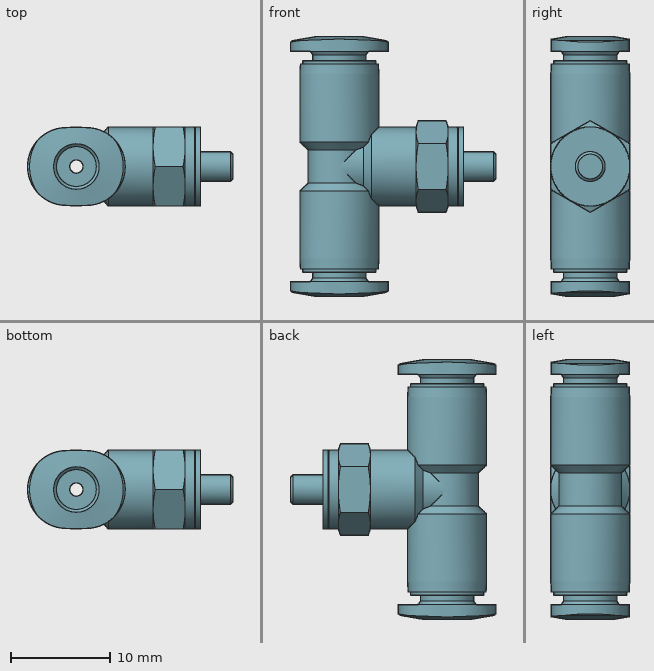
import cadquery as cq
import math

total_height = 26.2
total_length = 20.7
half_height = total_height / 2
body_radius = 8.0 / 2
waist_radius = 3.17
waist_half_length = 1.68
waist_taper = 0.79
cap_start = 9.27
cap_shoulder = 10.32
cap_top = 10.7
cap_shoulder_radius = 3.93
cap_rim_radius = 7.4 / 2
cap_rim_chamfer = 0.08
stem_radius = 5.4 / 2
stem_flare_start = 11.25
stem_flare = 0.24

button_base = 11.58
button_width = 7.85
button_center_offset = 1.0
button_length = button_width + 2 * button_center_offset
button_face_radius = 4.72
button_face_edge_height = 12.68
button_rim_height = 12.52

bore_radius = 4.0 / 2
bore_mouth_radius = 4.58 / 2
bore_chamfer = bore_mouth_radius - bore_radius
bore_floor = 2.45
passage_radius = 1.3 / 2

branch_taper_start = 2.44
branch_taper_end = branch_taper_start + waist_taper
hex_sides = 6
hex_start = 7.73
hex_end = 10.95
hex_chamfer = 0.2
hex_corner_radius = body_radius / math.cos(math.pi / hex_sides)
groove_start = 11.87
groove_width = 0.1
groove_depth = 0.08
collar_end = 12.5
pin_radius = 3.0 / 2
pin_chamfer = 0.25
pin_end = total_length - button_length / 2


def revolve_about_z(profile):
    """Revolve (radius, height) points about the Z axis."""
    return cq.Workplane("XZ").polyline(profile).close().revolve(360, (0, 0), (0, 1))


def revolve_about_x(profile):
    """Revolve (length, radius) points about the X axis."""
    return cq.Workplane("XY").polyline(profile).close().revolve(360, (0, 0), (1, 0))


def make_tube_half():
    return revolve_about_z([
        (0, 0),
        (waist_radius, 0),
        (waist_radius, waist_half_length),
        (body_radius, waist_half_length + waist_taper),
        (body_radius, cap_start),
        (cap_shoulder_radius, cap_shoulder),
        (cap_rim_radius, cap_shoulder),
        (cap_rim_radius, cap_top - cap_rim_chamfer),
        (cap_rim_radius - cap_rim_chamfer, cap_top),
        (stem_radius, cap_top),
        (stem_radius, stem_flare_start),
        (stem_radius + stem_flare, button_base),
        (0, button_base),
    ])


def make_button():
    blank = (
        cq.Workplane("XY", origin=(0, 0, button_base))
        .slot2D(button_length, button_width)
        .extrude(half_height - button_base)
    )
    cone = revolve_about_z([
        (0, button_base),
        (button_length / 2, button_base),
        (button_length / 2, button_rim_height),
        (button_face_radius, button_face_edge_height),
        (bore_mouth_radius, half_height),
        (0, half_height),
    ])
    return blank.intersect(cone)


def make_bore():
    return revolve_about_z([
        (0, 0),
        (passage_radius, 0),
        (passage_radius, bore_floor),
        (bore_radius, bore_floor),
        (bore_radius, half_height - bore_chamfer),
        (bore_mouth_radius, half_height),
        (0, half_height),
    ])


def make_branch():
    groove_end = groove_start + groove_width
    groove_radius = body_radius - groove_depth
    return revolve_about_x([
        (0, 0),
        (0, waist_radius),
        (branch_taper_start, waist_radius),
        (branch_taper_end, body_radius),
        (groove_start, body_radius),
        (groove_start, groove_radius),
        (groove_end, groove_radius),
        (groove_end, body_radius),
        (collar_end, body_radius),
        (collar_end, pin_radius),
        (pin_end - pin_chamfer, pin_radius),
        (pin_end, pin_radius - pin_chamfer),
        (pin_end, 0),
    ])


def make_hex():
    prism = (
        cq.Workplane("YZ", origin=(hex_start, 0, 0))
        .transformed(rotate=(0, 0, 90))
        .polygon(hex_sides, 2 * hex_corner_radius)
        .extrude(hex_end - hex_start)
    )
    chamfer_envelope = revolve_about_x([
        (hex_start, 0),
        (hex_start, body_radius),
        (hex_start + hex_chamfer, hex_corner_radius),
        (hex_end - hex_chamfer, hex_corner_radius),
        (hex_end, body_radius),
        (hex_end, 0),
    ])
    return prism.intersect(chamfer_envelope)


tube_half = make_tube_half().union(make_button())
tube = tube_half.union(tube_half.mirror("XY"))
bore_half = make_bore()
bore = bore_half.union(bore_half.mirror("XY"))

result = tube.union(make_branch()).union(make_hex()).cut(bore)